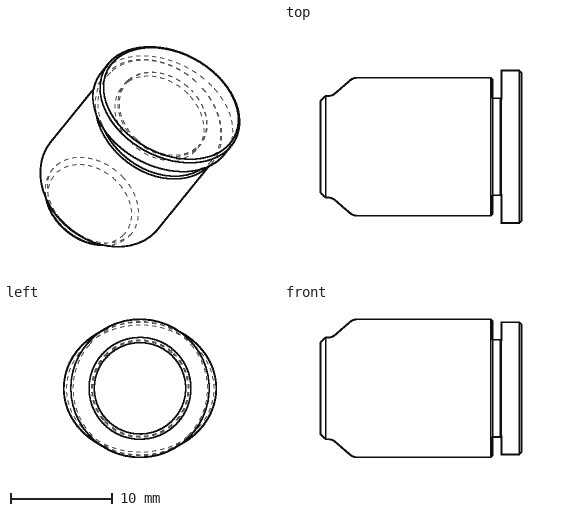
import cadquery as cq
import math

length = 19.8

tip_radius = 5.0
tip_chamfer = 0.51
tip_length = 0.8
body_diameter = 13.6
body_radius = body_diameter / 2
body_chamfer = 0.2
cone_angle = math.radians(41)
blend_radius = 1.0

neck_radius = 4.8
neck_chamfer = 0.1
neck_gap = 0.87
flange_thickness = 2.0
flange_half_width = 7.5
flange_half_height = 6.51
flange_chamfer = 0.25

flange_start = length - flange_thickness
body_end = flange_start - neck_gap

blend_run = blend_radius * math.sin(cone_angle)
blend_rise = blend_radius * (1 - math.cos(cone_angle))
half_blend_run = blend_radius * math.sin(cone_angle / 2)
half_blend_rise = blend_radius * (1 - math.cos(cone_angle / 2))
cone_start = tip_length + blend_run
cone_start_radius = tip_radius + blend_rise
cone_end_radius = body_radius - blend_rise
cone_end = cone_start + (cone_end_radius - cone_start_radius) / math.tan(cone_angle)
shoulder_end = cone_end + blend_run


def make_turned_body():
    """Revolve the tip, shoulder, body and neck about the X axis; the neck is chamfered at the flange."""
    profile = (
        cq.Workplane("XY")
        .lineTo(0, tip_radius - tip_chamfer)
        .lineTo(tip_chamfer, tip_radius)
        .lineTo(tip_length, tip_radius)
        .threePointArc(
            (tip_length + half_blend_run, tip_radius + half_blend_rise),
            (cone_start, cone_start_radius),
        )
        .lineTo(cone_end, cone_end_radius)
        .threePointArc(
            (shoulder_end - half_blend_run, body_radius - half_blend_rise),
            (shoulder_end, body_radius),
        )
        .lineTo(body_end - body_chamfer, body_radius)
        .lineTo(body_end, body_radius - body_chamfer)
        .lineTo(body_end, neck_radius)
        .lineTo(flange_start - neck_chamfer, neck_radius)
        .lineTo(flange_start, neck_radius - neck_chamfer)
        .lineTo(flange_start, 0)
        .close()
    )
    return profile.revolve(360, (0, 0, 0), (1, 0, 0))


def make_flange():
    """Extrude the oval flange and chamfer its outer end edge."""
    return (
        cq.Workplane("YZ", origin=(flange_start, 0, 0))
        .ellipse(flange_half_width, flange_half_height)
        .extrude(flange_thickness)
        .faces(">X")
        .chamfer(flange_chamfer)
    )


result = make_turned_body().union(make_flange())